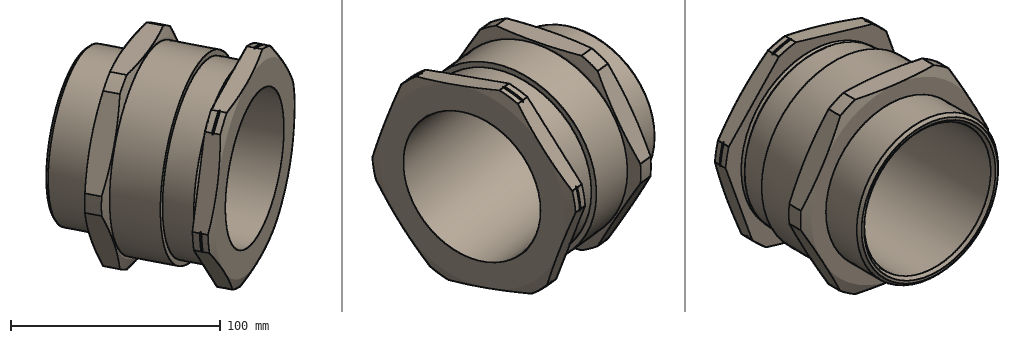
import cadquery as cq
import math

total_length = 90.2
collar_start = 24.1
collar_end = 36.0
body_end = 61.9
sleeve_end = 79.3
nut_start = 80.6

bore_radius = 39.9
entry_radius = 44.8
body_radius = 52.7
sleeve_radius = 49.8
seat_radius = 49.4

entry_chamfer = 1.7
mouth_radius = 41.5
mouth_depth = 1.7
sleeve_chamfer = 1.5

hex_corner_radius = 59.4
collar_flat_distance = 53.9
nut_flat_distance = 54.0
nut_turn = 10.0
hex_chamfer_length = 1.7

groove_center = 84.8
groove_width = 1.0
groove_depth = 0.4


def cylinder(start, end, radius):
    """Cylinder along X between two stations."""
    return cq.Workplane("YZ", origin=(start, 0, 0)).circle(radius).extrude(end - start)


def cone(start, end, start_radius, end_radius):
    """Solid truncated cone along X between two stations."""
    profile = [(start, 0), (start, start_radius), (end, end_radius), (end, 0)]
    return cq.Workplane("XY").polyline(profile).close().revolve(360, (0, 0, 0), (1, 0, 0))


def hexagon(start, end, flat_distance, turn, chamfer_start, chamfer_end):
    """Hexagon along X with flats facing Z before turning, and round chamfered corners."""
    across_corners = 2 * flat_distance / math.cos(math.radians(30))
    prism = (
        cq.Workplane("YZ", origin=(start, 0, 0))
        .polygon(6, across_corners)
        .extrude(end - start)
        .rotate((0, 0, 0), (1, 0, 0), turn)
    )
    profile = [(start, 0)]
    if chamfer_start:
        profile += [(start, flat_distance), (start + hex_chamfer_length, hex_corner_radius)]
    else:
        profile += [(start, hex_corner_radius)]
    if chamfer_end:
        profile += [(end - hex_chamfer_length, hex_corner_radius), (end, flat_distance)]
    else:
        profile += [(end, hex_corner_radius)]
    profile += [(end, 0)]
    envelope = cq.Workplane("XY").polyline(profile).close().revolve(360, (0, 0, 0), (1, 0, 0))
    return prism.intersect(envelope)


entry = cylinder(0, collar_start, entry_radius).faces("<X").chamfer(entry_chamfer)
body = cylinder(collar_end, body_end, body_radius)
sleeve = cylinder(body_end, sleeve_end, sleeve_radius).faces(">X").chamfer(sleeve_chamfer)
seat = cone(sleeve_end, nut_start, sleeve_radius - sleeve_chamfer, seat_radius)

collar = hexagon(collar_start, collar_end, collar_flat_distance, 0, True, True)
nut = hexagon(nut_start, total_length, nut_flat_distance, nut_turn, False, True)

groove = (
    cq.Workplane("XY")
    .moveTo(groove_center - groove_width / 2, hex_corner_radius)
    .lineTo(groove_center, hex_corner_radius - groove_depth)
    .lineTo(groove_center + groove_width / 2, hex_corner_radius)
    .close()
    .revolve(360, (0, 0, 0), (1, 0, 0))
)
nut = nut.cut(groove)

bore = cylinder(0, total_length, bore_radius)
mouth = cone(0, mouth_depth, mouth_radius, bore_radius)

result = (
    entry.union(collar)
    .union(body)
    .union(sleeve)
    .union(seat)
    .union(nut)
    .cut(bore)
    .cut(mouth)
)